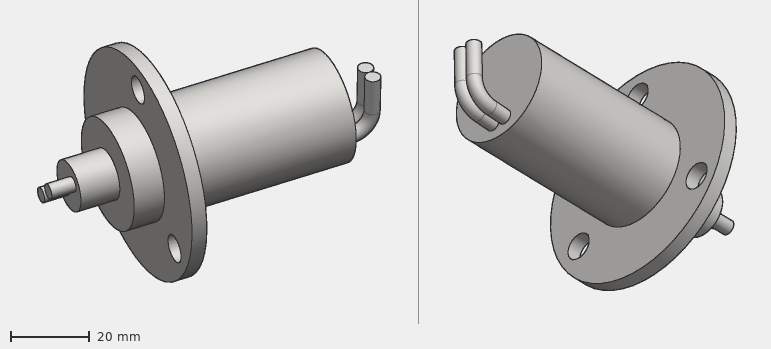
import cadquery as cq
import math

total_length = 94.1

barrel_diameter = 30.6
barrel_radius = barrel_diameter / 2
barrel_front = 17.9
barrel_rear = 80.8
flange_diameter = 62.4
flange_front = 26.4
flange_thickness = 4.2
hole_count = 3
hole_radius = 3.8
hole_circle_radius = 24.4

rotor_radius = 7.0
rotor_front = 6.9

wire_radius = 2.1
wire_offset = wire_radius

rear_wire_z = -10.25
lead_angle = math.radians(3.0)
tail_angle = math.radians(89.0)
bend_radius = 6.3
tail_length = 10.7


def cylinder(radius, front, length, x=0.0, z=0.0):
    """Cylinder along +Y that starts at Y = front."""
    return cq.Workplane(cq.Solid.makeCylinder(radius, length, cq.Vector(x, front, z), cq.Vector(0, 1, 0)))


def make_housing():
    """Barrel and flange, with mounting holes through the flange."""
    barrel = cylinder(barrel_radius, barrel_front, barrel_rear - barrel_front)
    flange = cylinder(flange_diameter / 2, flange_front, flange_thickness)
    for index in range(hole_count):
        angle = math.radians(90 + index * 360 / hole_count)
        hole_x = hole_circle_radius * math.cos(angle)
        hole_z = hole_circle_radius * math.sin(angle)
        flange = flange.cut(cylinder(hole_radius, flange_front, flange_thickness, hole_x, hole_z))
    return barrel.union(flange)


def make_rotor():
    return cylinder(rotor_radius, rotor_front, barrel_front - rotor_front)


def make_front_wire(side):
    """Straight wire from the rotor face; the pair lies on a diagonal."""
    return cylinder(wire_radius, 0, rotor_front, side * wire_offset, side * wire_offset)


def make_rear_wire(side):
    """Wire from the rear barrel face that bends upward."""
    tail_end_y = total_length - wire_radius * math.sin(tail_angle)
    bend_end_y = tail_end_y - tail_length * math.cos(tail_angle)
    bend_center_y = bend_end_y - bend_radius * math.sin(tail_angle)
    bend_start_y = bend_center_y + bend_radius * math.sin(lead_angle)
    bend_start_z = rear_wire_z + (bend_start_y - barrel_rear) * math.tan(lead_angle)
    bend_center_z = bend_start_z + bend_radius * math.cos(lead_angle)

    def bend_point(angle):
        """Point on the bend where the wire rises at the given angle."""
        bend_y = bend_center_y + bend_radius * math.sin(angle)
        bend_z = bend_center_z - bend_radius * math.cos(angle)
        return bend_y, bend_z

    bend_end_z = bend_point(tail_angle)[1]
    tail_end_z = bend_end_z + tail_length * math.sin(tail_angle)

    path_start_y = barrel_rear - wire_radius
    path_start_z = rear_wire_z - wire_radius * math.tan(lead_angle)
    wire_x = side * wire_offset
    path = (
        cq.Workplane("YZ", origin=(wire_x, 0, 0))
        .moveTo(path_start_y, path_start_z)
        .lineTo(bend_start_y, bend_start_z)
        .threePointArc(bend_point((lead_angle + tail_angle) / 2), bend_point(tail_angle))
        .lineTo(tail_end_y, tail_end_z)
    )
    start_plane = cq.Plane(
        origin=(wire_x, path_start_y, path_start_z),
        xDir=(1, 0, 0),
        normal=(0, math.cos(lead_angle), math.sin(lead_angle)),
    )
    wire = cq.Workplane(start_plane).circle(wire_radius).sweep(path)
    return wire.cut(cylinder(barrel_radius, barrel_front, barrel_rear - barrel_front))


housing = make_housing()
rotor = make_rotor()
front_wires = [make_front_wire(side) for side in (-1, 1)]
rear_wires = [make_rear_wire(side) for side in (-1, 1)]

result = cq.Compound.makeCompound(
    [housing.val(), rotor.val()] + [solid for wire in front_wires + rear_wires for solid in wire.vals()]
)